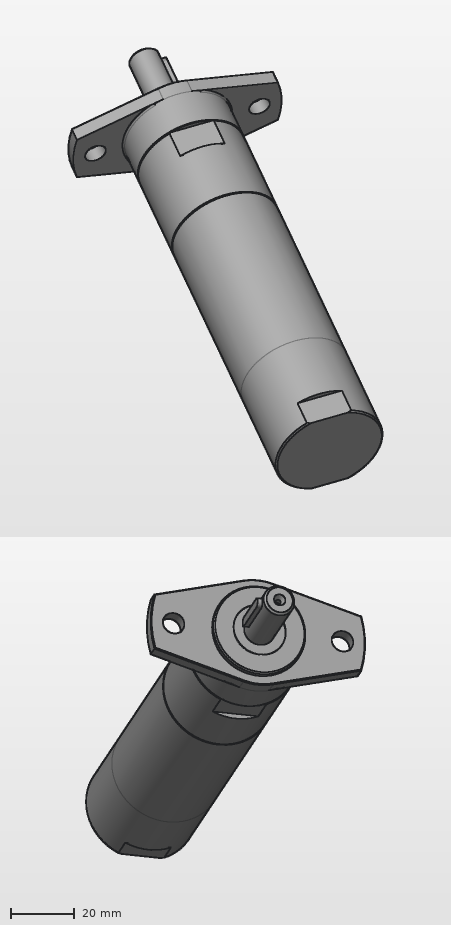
import cadquery as cq
import math

total_length = 169.7
shaft_length = 24.3
pilot_height = 2.0
flange_thickness = 5.0
flange_front = shaft_length + pilot_height
flange_back = flange_front + flange_thickness
grooved_joints = (44.0, 75.0)
rear_cap_start = 137.8

body_diameter = 36.0
body_radius = body_diameter / 2
rear_chamfer = 0.5
groove_width = 0.5
groove_depth = 0.2
flange_fillet = 0.5
fillet_end = 7.6

across_flats = 32.8
front_flat_start = grooved_joints[0]
front_flat_length = 10.0
rear_flat_length = 9.0

pilot_diameter = 30.0
pilot_chamfer = 0.5
seal_diameter = 17.0
seal_depth = 0.5

flange_span = 70.0
flange_chamfer = 0.3
flange_slope = 15.5
bolt_spacing = 55.0
bolt_hole_diameter = 7.0

shaft_diameter = 10.0
shaft_tip_diameter = 8.5
key_start = 2.7
key_length = 18.3
key_width = 3.0
key_top = 6.5
key_seat = 3.0
centre_hole_diameter = 1.6
centre_hole_depth = 4.0
countersink_diameter = 3.7
countersink_angle = 60.0


def cylinder(start, length, diameter):
    """Solid cylinder on the X axis."""
    return cq.Workplane("YZ", origin=(start, 0, 0)).circle(diameter / 2).extrude(length)


def flange_edge_height(y):
    """Z of the slanted flange edge, which is tangent to the housing, at a distance y from the axis."""
    slope = math.radians(flange_slope)
    return (body_radius - y * math.sin(slope)) / math.cos(slope)


def make_flange():
    """Diamond plate: slanted edges tangent to the body, tips rounded about the axis, two holes."""
    slope = math.radians(flange_slope)
    tip_radius = flange_span / 2
    tangent_y = body_radius * math.sin(slope)
    tangent_z = body_radius * math.cos(slope)
    corner_angle = math.asin(body_radius / tip_radius) - slope
    corner_y = tip_radius * math.cos(corner_angle)
    corner_z = tip_radius * math.sin(corner_angle)
    plate = (
        cq.Workplane("YZ", origin=(flange_front, 0, 0))
        .moveTo(tangent_y, tangent_z)
        .lineTo(corner_y, corner_z)
        .threePointArc((tip_radius, 0), (corner_y, -corner_z))
        .lineTo(tangent_y, -tangent_z)
        .threePointArc((0, -body_radius), (-tangent_y, -tangent_z))
        .lineTo(-corner_y, -corner_z)
        .threePointArc((-tip_radius, 0), (-corner_y, corner_z))
        .lineTo(-tangent_y, tangent_z)
        .threePointArc((0, body_radius), (tangent_y, tangent_z))
        .close()
        .extrude(flange_thickness)
    )
    plate = plate.faces("<X").chamfer(flange_chamfer)
    holes = (
        cq.Workplane("YZ", origin=(flange_front, 0, 0))
        .pushPoints([(-bolt_spacing / 2, 0), (bolt_spacing / 2, 0)])
        .circle(bolt_hole_diameter / 2)
        .extrude(flange_thickness)
    )
    return plate.cut(holes)


def make_flange_fillet():
    """Concave fillet between housing and flange on the +Y side, trimmed along the flange edges."""
    inner_radius = body_radius - flange_fillet
    outer_radius = body_radius + flange_fillet
    mid_offset = flange_fillet * (1 - math.sqrt(0.5))
    ring = (
        cq.Workplane("XY")
        .moveTo(flange_back, inner_radius)
        .lineTo(flange_back, outer_radius)
        .threePointArc(
            (flange_back + mid_offset, body_radius + mid_offset),
            (flange_back + flange_fillet, body_radius),
        )
        .lineTo(flange_back + flange_fillet, inner_radius)
        .close()
        .revolve(360, (0, 0, 0), (1, 0, 0))
    )
    end_height = flange_edge_height(fillet_end)
    side_height = flange_edge_height(outer_radius)
    trim = (
        cq.Workplane("YZ", origin=(flange_back, 0, 0))
        .moveTo(fillet_end, end_height)
        .lineTo(outer_radius, side_height)
        .lineTo(outer_radius, -side_height)
        .lineTo(fillet_end, -end_height)
        .close()
        .extrude(flange_fillet)
    )
    return ring.intersect(trim)


def joint_groove(station):
    """V-groove around the housing."""
    return (
        cq.Workplane("XY")
        .moveTo(station - groove_width / 2, body_radius)
        .lineTo(station, body_radius - groove_depth)
        .lineTo(station + groove_width / 2, body_radius)
        .close()
        .revolve(360, (0, 0, 0), (1, 0, 0))
    )


def flat_cutters(start, length):
    """Slabs above and below the housing that leave two parallel flats."""
    slab = cq.Workplane("XY").box(length, body_diameter, body_radius, centered=(False, True, False))
    upper = slab.translate((start, 0, across_flats / 2))
    return upper.union(upper.mirror("XY"))


def make_front_housing():
    """Gearbox and motor barrel, running through the flange back to the rear cap."""
    start = flange_front + flange_chamfer
    housing = cylinder(start, rear_cap_start - start, body_diameter)
    for station in grooved_joints:
        housing = housing.cut(joint_groove(station))
    return housing.cut(flat_cutters(front_flat_start, front_flat_length))


def make_rear_cap():
    cap = cylinder(rear_cap_start, total_length - rear_cap_start, body_diameter)
    cap = cap.faces(">X").chamfer(rear_chamfer)
    return cap.cut(flat_cutters(total_length - rear_flat_length, rear_flat_length))


def make_pilot():
    pilot = cylinder(shaft_length, pilot_height, pilot_diameter).faces("<X").chamfer(pilot_chamfer)
    return pilot.cut(cylinder(shaft_length, seal_depth, seal_diameter))


def make_shaft():
    """Chamfered shaft with a countersunk centre hole in its tip."""
    tip_chamfer = (shaft_diameter - shaft_tip_diameter) / 2
    shaft = cylinder(0, flange_front, shaft_diameter).faces("<X").chamfer(tip_chamfer)
    return shaft.faces("<X").workplane(centerOption="CenterOfMass").cskHole(
        centre_hole_diameter, countersink_diameter, countersink_angle, centre_hole_depth
    )


def make_key():
    """Round-ended key on the +Y side of the shaft."""
    return (
        cq.Workplane("XZ", origin=(key_start + key_length / 2, key_top, 0))
        .slot2D(key_length, key_width)
        .extrude(key_top - key_seat)
    )


fillet = make_flange_fillet()
result = make_flange().union(make_front_housing()).union(fillet).union(fillet.mirror("XZ"))
result = result.union(make_pilot()).union(make_shaft()).union(make_key())
result = result.union(make_rear_cap(), clean=False)